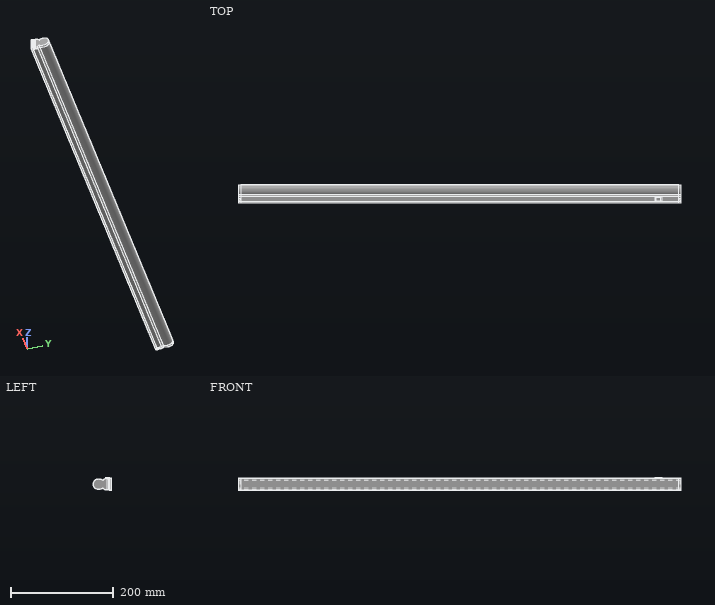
import cadquery as cq
import math

LENGTH = 868.0
WIDTH = 36.2
HEIGHT = 25.1
FRONT_Y = WIDTH / 2
BACK_Y = -WIDTH / 2

FLANGE_HEIGHT = 24.2
FLANGE_DEPTH = 3.7
FLANGE_STEP = 0.95
DIFFUSER_RADIUS = 10.2
CROWN_FLAT = 1.9
WAIST_RADIUS = 12.0
NECK_Y = -1.4
HOUSING_FRONT_Y = -5.1

AXIS_Z = (FLANGE_HEIGHT - HEIGHT) / 2
FLANGE_HALF = FLANGE_HEIGHT / 2
FLANGE_FRONT_Y = BACK_Y + FLANGE_DEPTH
HOUSING_HALF = FLANGE_HALF - FLANGE_STEP

CAP_LENGTH = 5.0
CAP_INSET = 0.2
POCKET_HEIGHT = 20.0
POCKET_FRONT_Y = -9.2
POCKET_STEP_Y = -11.8
POCKET_DEPTH = 4.0
POCKET_SHALLOW_DEPTH = 1.5

SWITCH_X = 389.5
SWITCH_LENGTH = 13.4
SWITCH_FRONT_Y = -6.2
SWITCH_FLANGE_GAP = 0.2
SWITCH_BACK_Y = FLANGE_FRONT_Y + SWITCH_FLANGE_GAP
BEZEL_RIM = 2.4
BEZEL_SIDE_RIM = 0.4
ROCKER_DROP = 1.7
ROCKER_SAG = 0.45


def bar_section(x, inset):
    """Closed outline of the bar at station x, with its heights, nose and back pulled in by inset."""
    radius = DIFFUSER_RADIUS - inset
    nose_centre = FRONT_Y - DIFFUSER_RADIUS
    rear_centre = nose_centre - CROWN_FLAT
    neck_angle = math.asin((rear_centre - NECK_Y) / WAIST_RADIUS)
    neck_half = radius - WAIST_RADIUS * (1 - math.cos(neck_angle))
    mid_y = rear_centre - WAIST_RADIUS * math.sin(neck_angle / 2)
    mid_half = radius - WAIST_RADIUS * (1 - math.cos(neck_angle / 2))
    housing_half = HOUSING_HALF - inset
    flange_half = FLANGE_HALF - inset
    back_y = BACK_Y + inset
    return (
        cq.Workplane("YZ", origin=(x, 0, AXIS_Z))
        .moveTo(back_y, -flange_half)
        .lineTo(FLANGE_FRONT_Y, -flange_half)
        .lineTo(FLANGE_FRONT_Y, -housing_half)
        .lineTo(HOUSING_FRONT_Y, -housing_half)
        .lineTo(NECK_Y, -neck_half)
        .threePointArc((mid_y, -mid_half), (rear_centre, -radius))
        .lineTo(nose_centre, -radius)
        .threePointArc((nose_centre + radius, 0), (nose_centre, radius))
        .lineTo(rear_centre, radius)
        .threePointArc((mid_y, mid_half), (NECK_Y, neck_half))
        .lineTo(HOUSING_FRONT_Y, housing_half)
        .lineTo(FLANGE_FRONT_Y, housing_half)
        .lineTo(FLANGE_FRONT_Y, flange_half)
        .lineTo(back_y, flange_half)
        .close()
    )


def end_pocket(side):
    """Stepped blind pocket in the housing's end face; side is -1 or +1 along X."""
    pocket = cq.Workplane("XY")
    steps = (
        (POCKET_FRONT_Y, POCKET_STEP_Y, POCKET_DEPTH),
        (POCKET_STEP_Y, FLANGE_FRONT_Y, POCKET_SHALLOW_DEPTH),
    )
    for front, back, depth in steps:
        centre = (side * (LENGTH - depth) / 2, (front + back) / 2, AXIS_Z)
        pocket = pocket.union(cq.Workplane("XY").box(depth, front - back, POCKET_HEIGHT).translate(centre))
    return pocket


def switch():
    """Raised bezel holding a rocker whose hollow face climbs toward +X."""
    base_z = AXIS_Z + HOUSING_HALF
    top_z = HEIGHT / 2
    width = SWITCH_FRONT_Y - SWITCH_BACK_Y
    centre_y = (SWITCH_FRONT_Y + SWITCH_BACK_Y) / 2
    bezel = (
        cq.Workplane("XY", origin=(SWITCH_X, centre_y, base_z))
        .rect(SWITCH_LENGTH, width)
        .extrude(top_z - base_z)
    )
    half_rocker = SWITCH_LENGTH / 2 - BEZEL_RIM
    rocker_width = width - 2 * BEZEL_SIDE_RIM
    hollow = (
        cq.Workplane("XZ", origin=(SWITCH_X, centre_y + rocker_width / 2, top_z))
        .moveTo(-half_rocker, 0)
        .lineTo(-half_rocker, -ROCKER_DROP)
        .threePointArc((0, -ROCKER_DROP / 2 - ROCKER_SAG), (half_rocker, 0))
        .close()
        .extrude(rocker_width)
    )
    return bezel.cut(hollow)


bar_length = LENGTH - 2 * CAP_LENGTH
result = bar_section(-bar_length / 2, 0).extrude(bar_length)
for cap_start in (-LENGTH / 2, bar_length / 2):
    result = result.union(bar_section(cap_start, CAP_INSET).extrude(CAP_LENGTH))
for side in (-1, 1):
    result = result.cut(end_pocket(side))
result = result.union(switch())